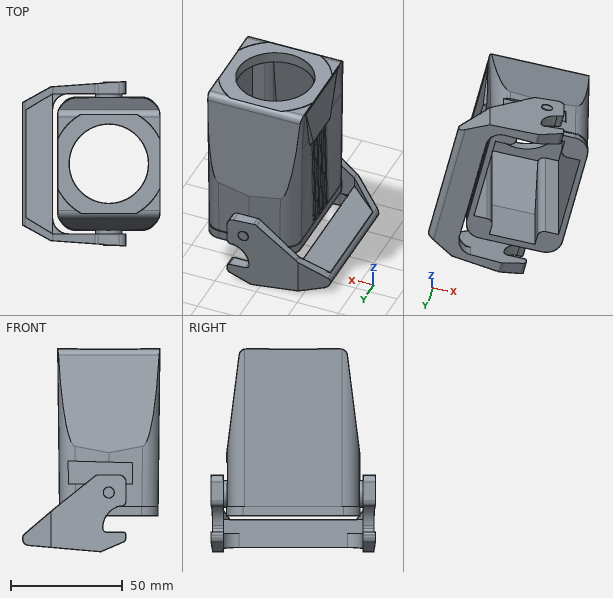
import cadquery as cq


HOOD_HEIGHT = 74.7
BAND_HEIGHT = 4.2
BAND_HALF_X = 22.1
BAND_HALF_Y = 29.9
HOOD_TOP_HALF_X = 22.9
CORNER_RADIUS = 7.5
SIDE_CREST_Y = 29.75
SIDE_EDGE_Y = 29.2
SLOPE_START_Z = 28.2
SLOPE_RATE = 0.1256
TOP_EDGE_RADIUS = 3.3
SPOT_FACE_RADIUS = 25.4
SPOT_FACE_DEPTH = 0.2
ENTRY_RADIUS = 17.7

CAVITY_HALF_X = 19.5
WALL_Y = 2.8
CAVITY_TOP_Z = 69.3
LUG_WIDTH = 9.0
LUG_FACE_Y = 19.5
LUG_RADIUS = 3.0

RECESS_DEPTH = 1.5
RECESS_OUTER_Y = 22.2
RECESS_STRIP_Y = 9.0
RECESS_VALLEY_Z = 49.8
RECESS_VALLEY_RISE = 0.29
RECESS_TOP_Z = 73.4
RECESS_TOP_OUTER_Y = 19.6
PANEL_TOP_HALF_Y = 18.1
PANEL_BOTTOM_HALF_Y = 9.4
PANEL_BOTTOM_Z = 51.1
PANEL_X = -22.6
PANEL_FLARE_ANGLE = 50.0
GROOVE_COUNT = 4
GROOVE_WIDTH = 2.55
GROOVE_PITCH = 4.2
GROOVE_BOTTOM_Z = 5.4
GROOVE_DEPTH = 0.5

LABEL_FLOOR_Y = -28.6
LABEL_RIGHT_X = 10.5
LABEL_BOTTOM_Z = 14.2
LABEL_RIGHT_TOP_Z = 23.7
LABEL_TOP_TILT = 0.028

BOSS_RADIUS = 6.0
BOSS_Z = 9.8
PIN_RADIUS = 2.45
PIN_Z = 10.4
PIN_HALF_SPAN = 36.5

NOSE_X = -38.6
NOSE_RADIUS = 3.03
TIP_X = -43.05
TIP_Z = -12.69
BEND_X = -24.85
BEND_Z = 2.8
LEVER_TOP_Z = 18.2
LEVER_TOP_START_X = -5.6
LEVER_END_X = 7.66
LEVER_HEAD_RADIUS = 3.0
LEVER_END_RADIUS = 2.2
LEVER_HEAD_BOTTOM_Z = 4.3
HOOK_Z = -7.3
HOOK_RADIUS = 1.2
HOOK_HEEL_Z = -11.3
HOOK_HEEL_RADIUS = 2.0
THROAT_START_X = 4.7
THROAT_MID_X = -0.6
THROAT_MID_Z = 0.7
THROAT_X = -2.6
THROAT_Z = -4.4
THROAT_RADIUS = 1.6
LEVER_BOTTOM_X = -3.6
LEVER_BOTTOM_Z = -16.15
LEVER_BOTTOM_RADIUS = 1.5
NOSE_HALF_Y = 27.4
KINK_X = -25.9
KINK_HALF_Y = 34.45
LEVER_END_HALF_Y = 36.85
ARM_INNER_Y = 31.3
ARM_CORNER_RADIUS = 7.0
PLATE_FRONT_X = -37.1
PLATE_FRONT_HALF_Y = 24.1
PLATE_FRONT_Z = -7.8
PLATE_BACK_X = -25.1
PLATE_BACK_Z = -1.75
WEB_Z = -8.0

CLEAR = 10.0
SLIVER = 0.02


def face_x(z):
    """X of the drafted -X face of the hood at height z."""
    rise = (z - BAND_HEIGHT) / (HOOD_HEIGHT - BAND_HEIGHT)
    return -(BAND_HALF_X + rise * (HOOD_TOP_HALF_X - BAND_HALF_X))


def recess_floor_x(z):
    """X of the flat middle strip, running from the band down to full depth at the valley."""
    foot_x = face_x(BAND_HEIGHT) + SLIVER
    valley_x = face_x(RECESS_VALLEY_Z) + RECESS_DEPTH
    return foot_x + (valley_x - foot_x) * (z - BAND_HEIGHT) / (RECESS_VALLEY_Z - BAND_HEIGHT)


def slope_y(z):
    """Y of the sloping +Y face at height z."""
    return SIDE_CREST_Y - SLOPE_RATE * (z - SLOPE_START_Z)


def mirrored_outline(half_points):
    """Closed outline from points on its +Y half, mirrored to -Y."""
    return half_points + [(a, -b) for a, b in reversed(half_points)]


def block(x0, x1, y0, y1, z0, z1):
    return cq.Workplane("XY").box(x1 - x0, y1 - y0, z1 - z0, centered=False).translate((x0, y0, z0))


def y_cylinder(radius, z, y0, y1):
    """Cylinder along Y on X = 0."""
    return cq.Workplane("XZ", origin=(0, y0, 0)).center(0, z).circle(radius).extrude(y0 - y1)


def extrude_plan(half_points):
    """Plan outline mirrored about X, extruded through more than the part's full height."""
    return (
        cq.Workplane("XY", origin=(0, 0, -HOOD_HEIGHT))
        .polyline(mirrored_outline(half_points)).close().extrude(2 * HOOD_HEIGHT)
    )


def sloped_prism(half_x, bottom_z, top_z, inset):
    """Prism along X between the two Y sides, upright below and sloping above, moved inwards by `inset`."""
    side_y = SIDE_CREST_Y - inset
    top_y = slope_y(top_z) - inset
    profile = [
        (-side_y, bottom_z), (side_y, bottom_z), (side_y, SLOPE_START_Z),
        (top_y, top_z), (-top_y, top_z), (-side_y, SLOPE_START_Z),
    ]
    return cq.Workplane("YZ").polyline(profile).close().extrude(half_x, both=True)


def make_hood_shell():
    band = block(-BAND_HALF_X, BAND_HALF_X, -BAND_HALF_Y, BAND_HALF_Y, 0, BAND_HEIGHT)
    band = band.edges("|Z").fillet(CORNER_RADIUS)

    roofed_plan = [
        (-HOOD_TOP_HALF_X, SIDE_EDGE_Y), (0, SIDE_CREST_Y), (HOOD_TOP_HALF_X, SIDE_EDGE_Y),
    ]
    upper = extrude_plan(roofed_plan)
    drafted_front = (
        cq.Workplane("XZ")
        .polyline([
            (-BAND_HALF_X, BAND_HEIGHT), (BAND_HALF_X, BAND_HEIGHT),
            (HOOD_TOP_HALF_X, HOOD_HEIGHT), (-HOOD_TOP_HALF_X, HOOD_HEIGHT),
        ])
        .close().extrude(BAND_HALF_Y, both=True)
    )
    upper = upper.intersect(drafted_front)
    mid_z = (BAND_HEIGHT + HOOD_HEIGHT) / 2
    for side in (-1, 1):
        corner_zone = cq.selectors.BoxSelector(
            (side * CLEAR, -2 * BAND_HALF_Y, mid_z - CLEAR),
            (side * 2 * BAND_HALF_X, 2 * BAND_HALF_Y, mid_z + CLEAR),
        )
        upper = upper.edges(corner_zone).fillet(CORNER_RADIUS)

    upper = upper.intersect(sloped_prism(BAND_HALF_X + CLEAR, 0, HOOD_HEIGHT, 0))
    upper = upper.faces(">Z").edges("|X").fillet(TOP_EDGE_RADIUS)
    spot_face = (
        cq.Workplane("XY", origin=(0, 0, HOOD_HEIGHT - SPOT_FACE_DEPTH))
        .circle(SPOT_FACE_RADIUS).extrude(CLEAR)
    )
    return band.union(upper).cut(spot_face)


def make_cavity():
    cavity = sloped_prism(CAVITY_HALF_X, -CLEAR, CAVITY_TOP_Z, WALL_Y)
    for x_side in (-1, 1):
        for y_side in (-1, 1):
            lug = (
                cq.Workplane("XY")
                .box(2 * LUG_WIDTH, 2 * CLEAR, HOOD_HEIGHT, centered=(True, True, False))
                .edges("|Z").fillet(LUG_RADIUS)
                .translate((x_side * CAVITY_HALF_X, y_side * (LUG_FACE_Y + CLEAR), 0))
            )
            cavity = cavity.cut(lug)
    entry = cq.Workplane("XY").circle(ENTRY_RADIUS).extrude(HOOD_HEIGHT + CLEAR)
    return cavity.union(entry)


def recess_section(z_middle, rise, strip_y, strip_depth, outer_y):
    """Plan section of one +Y cheek of the grip recess, in a plane climbing by `rise` per unit of Y."""
    strip_z = z_middle + rise * strip_y
    outer_z = z_middle + rise * outer_y
    points = [
        (-CLEAR, strip_y, strip_z), (strip_depth, strip_y, strip_z),
        (0, outer_y, outer_z), (-CLEAR, outer_y, outer_z),
    ]
    return cq.Wire.makePolygon([cq.Vector(face_x(z) + inset, y, z) for inset, y, z in points], close=True)


def recess_wedge(y_middle, width, bottom_z, extra_depth):
    """Straight-sided cut that follows the recess floor from `bottom_z` up behind the panel."""
    bottom_x = recess_floor_x(bottom_z) + extra_depth
    top_x = recess_floor_x(PANEL_BOTTOM_Z) + extra_depth
    profile = [
        (bottom_x - CLEAR, bottom_z), (bottom_x, bottom_z),
        (top_x, PANEL_BOTTOM_Z), (top_x - CLEAR, PANEL_BOTTOM_Z),
    ]
    return (
        cq.Workplane("XZ", origin=(0, y_middle + width / 2, 0))
        .polyline(profile).close().extrude(width)
    )


def panel_outline():
    return cq.Workplane("YZ", origin=(PANEL_X, 0, 0)).polyline([
        (-PANEL_TOP_HALF_Y, RECESS_TOP_Z), (PANEL_TOP_HALF_Y, RECESS_TOP_Z),
        (PANEL_BOTTOM_HALF_Y, PANEL_BOTTOM_Z), (-PANEL_BOTTOM_HALF_Y, PANEL_BOTTOM_Z),
    ]).close()


def make_grip_recess():
    """Cut for the -X face: two cheeks, the middle strip and grooves, around a trapezoidal panel."""
    top_depth = PANEL_X - face_x(RECESS_TOP_Z)
    valley_z = RECESS_VALLEY_Z + RECESS_VALLEY_RISE * RECESS_STRIP_Y
    valley_depth = recess_floor_x(valley_z) - face_x(valley_z)
    foot = recess_section(BAND_HEIGHT, 0, RECESS_STRIP_Y, SLIVER, RECESS_OUTER_Y)
    valley = recess_section(RECESS_VALLEY_Z, RECESS_VALLEY_RISE, RECESS_STRIP_Y, valley_depth, RECESS_OUTER_Y)
    head = recess_section(RECESS_TOP_Z, 0, PANEL_TOP_HALF_Y, top_depth, RECESS_TOP_OUTER_Y)
    recess = recess_wedge(0, 2 * RECESS_STRIP_Y, BAND_HEIGHT, 0)
    for lower, upper in ((foot, valley), (valley, head)):
        cheek = cq.Workplane(cq.Solid.makeLoft([lower, upper], True))
        recess = recess.union(cheek).union(cheek.mirror("XZ"))

    for index in range(GROOVE_COUNT):
        y = (index - (GROOVE_COUNT - 1) / 2) * GROOVE_PITCH
        recess = recess.union(recess_wedge(y, GROOVE_WIDTH, GROOVE_BOTTOM_Z, GROOVE_DEPTH))
    panel = panel_outline().extrude(2 * RECESS_DEPTH, taper=-PANEL_FLARE_ANGLE)
    return recess.cut(panel).union(panel_outline().extrude(-CLEAR))


def make_label_pocket():
    left_x = -BAND_HALF_X - CLEAR
    left_top_z = LABEL_RIGHT_TOP_Z + LABEL_TOP_TILT * (LABEL_RIGHT_X - left_x)
    outline = [
        (left_x, LABEL_BOTTOM_Z), (LABEL_RIGHT_X, LABEL_BOTTOM_Z),
        (LABEL_RIGHT_X, LABEL_RIGHT_TOP_Z), (left_x, left_top_z),
    ]
    return (
        cq.Workplane("XZ", origin=(0, LABEL_FLOOR_Y, 0))
        .polyline(outline).close().extrude(CLEAR)
    )


def make_lever_side():
    """Side silhouette of the lever, extruded past its full width."""
    side = (
        cq.Workplane("XZ")
        .moveTo(TIP_X, TIP_Z)
        .lineTo(BEND_X, BEND_Z)
        .lineTo(LEVER_TOP_START_X, LEVER_TOP_Z)
        .lineTo(LEVER_END_X, LEVER_TOP_Z)
        .lineTo(LEVER_END_X, LEVER_HEAD_BOTTOM_Z)
        .lineTo(THROAT_START_X, LEVER_HEAD_BOTTOM_Z)
        .threePointArc((THROAT_MID_X, THROAT_MID_Z), (THROAT_X, THROAT_Z))
        .lineTo(THROAT_X, HOOK_Z)
        .lineTo(LEVER_END_X, HOOK_Z)
        .lineTo(LEVER_END_X, HOOK_HEEL_Z)
        .lineTo(LEVER_BOTTOM_X, LEVER_BOTTOM_Z)
        .close()
        .extrude(2 * LEVER_END_HALF_Y, both=True)
    )
    rounded_corners = [
        (TIP_X, TIP_Z, NOSE_RADIUS),
        (LEVER_TOP_START_X, LEVER_TOP_Z, LEVER_END_RADIUS),
        (LEVER_END_X, LEVER_TOP_Z, LEVER_HEAD_RADIUS),
        (LEVER_END_X, LEVER_HEAD_BOTTOM_Z, LEVER_END_RADIUS),
        (THROAT_X, HOOK_Z, THROAT_RADIUS),
        (LEVER_END_X, HOOK_Z, HOOK_RADIUS),
        (LEVER_END_X, HOOK_HEEL_Z, HOOK_HEEL_RADIUS),
        (LEVER_BOTTOM_X, LEVER_BOTTOM_Z, LEVER_BOTTOM_RADIUS),
    ]
    for x, z, radius in rounded_corners:
        side = side.edges(cq.selectors.NearestToPointSelector((x, 0, z))).fillet(radius)
    return side


def make_lever():
    nose_slope = (KINK_HALF_Y - NOSE_HALF_Y) / (KINK_X - NOSE_X)
    outer_half = [
        (TIP_X, NOSE_HALF_Y + nose_slope * (TIP_X - NOSE_X)),
        (KINK_X, KINK_HALF_Y),
        (LEVER_END_X, LEVER_END_HALF_Y),
    ]
    plan = extrude_plan(outer_half)
    fork_gap = extrude_plan([(PLATE_BACK_X, ARM_INNER_Y), (CLEAR, ARM_INNER_Y)])
    fork_gap = fork_gap.edges("|Z and <X").fillet(ARM_CORNER_RADIUS)

    plate_plan = extrude_plan(
        [(PLATE_FRONT_X, PLATE_FRONT_HALF_Y), (PLATE_BACK_X, ARM_INNER_Y), (0, ARM_INNER_Y)]
    )
    above_plate = (
        cq.Workplane("XZ")
        .polyline([
            (PLATE_FRONT_X, PLATE_FRONT_Z), (PLATE_BACK_X, PLATE_BACK_Z),
            (PLATE_BACK_X, WEB_Z), (0, WEB_Z),
            (0, LEVER_TOP_Z), (PLATE_FRONT_X, LEVER_TOP_Z),
        ])
        .close().extrude(LEVER_END_HALF_Y, both=True)
    )
    return make_lever_side().intersect(plan).cut(plate_plan.intersect(above_plate)).cut(fork_gap)


def make_pivots():
    pivots = cq.Workplane("XY")
    for side in (-1, 1):
        inner_y = side * SIDE_EDGE_Y - side * WALL_Y / 2
        pivots = pivots.add(y_cylinder(BOSS_RADIUS, BOSS_Z, inner_y, side * ARM_INNER_Y))
        pivots = pivots.add(y_cylinder(PIN_RADIUS, PIN_Z, inner_y, side * PIN_HALF_SPAN))
    return pivots.combine()


result = (
    make_hood_shell()
    .cut(make_cavity())
    .cut(make_grip_recess())
    .cut(make_label_pocket())
    .union(make_pivots())
    .union(make_lever())
)